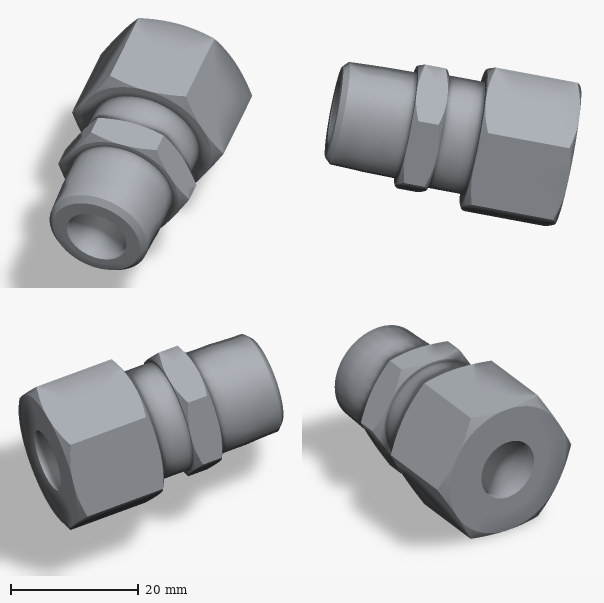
import cadquery as cq
import math

total_length = 37.4
nut_length = 15.0
collar_length = 5.9
body_hex_length = 4.95
thread_length = total_length - nut_length - collar_length - body_hex_length

nut_across_flats = 22.0
body_hex_across_flats = 19.0
hex_chamfer_angle = 30.0
collar_diameter = 18.0
bore_diameter = 10.0

thread_root_diameter = 16.98
thread_gauge_diameter = 16.83
thread_end_diameter = 16.38
thread_tip_diameter = 14.6
gauge_length = 6.4
tip_chamfer = (thread_end_diameter - thread_tip_diameter) / 2

body_hex_start = thread_length
collar_start = body_hex_start + body_hex_length
nut_start = collar_start + collar_length


def revolve_about_y(profile):
    """Revolve a closed (radius, y) outline about the Y axis."""
    return cq.Workplane("XY").polyline(profile).close().revolve(360, (0, 0, 0), (0, 1, 0))


def chamfered_hex(start, length, across_flats):
    """Hexagon with corners on X, its corners turned conically at both ends."""
    flat_radius = across_flats / 2
    corner_radius = flat_radius / math.cos(math.pi / 6)
    corner_drop = (corner_radius - flat_radius) * math.tan(math.radians(hex_chamfer_angle))
    end = start + length
    prism = (
        cq.Workplane("XZ", origin=(0, start, 0))
        .polygon(6, 2 * corner_radius)
        .extrude(-length)
    )
    envelope = revolve_about_y([
        (0, start),
        (flat_radius, start),
        (corner_radius, start + corner_drop),
        (corner_radius, end - corner_drop),
        (flat_radius, end),
        (0, end),
    ])
    return prism.intersect(envelope)


core = revolve_about_y([
    (0, 0),
    (thread_tip_diameter / 2, 0),
    (thread_end_diameter / 2, tip_chamfer),
    (thread_gauge_diameter / 2, gauge_length),
    (thread_root_diameter / 2, body_hex_start),
    (collar_diameter / 2, body_hex_start),
    (collar_diameter / 2, nut_start),
    (0, nut_start),
])

body_hex = chamfered_hex(body_hex_start, body_hex_length, body_hex_across_flats)
nut = chamfered_hex(nut_start, nut_length, nut_across_flats)

bore = cq.Workplane("XZ").circle(bore_diameter / 2).extrude(-total_length)

result = core.union(body_hex).union(nut).cut(bore)